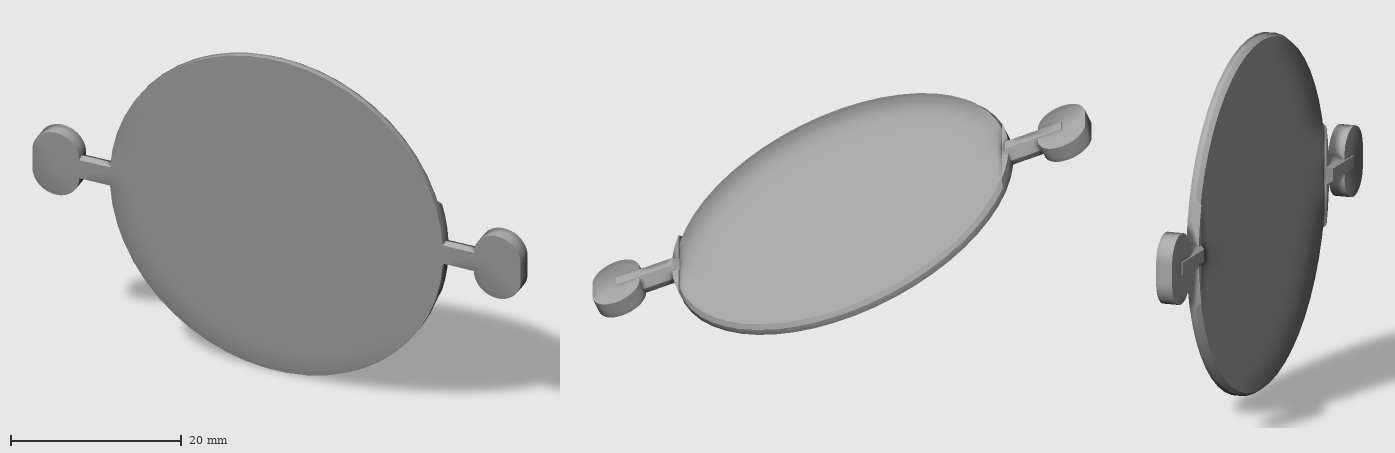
import cadquery as cq
import math

overall_length = 62.7
disc_diameter = 42.8
disc_thickness = 1.3
rim_straight = 0.75
rim_bevel = 0.4
pad_width = 6.0
pad_height = 8.5
pad_thickness = 2.0
neck_thickness = 2.15
neck_front_width = 2.5
neck_widest = 3.0
neck_rear_width = 1.5
shoulder_thickness = 1.55
shoulder_rear_span = 11.8
shoulder_root_span = 13.4
neck_rear_end = 21.2

disc_radius = disc_diameter / 2
pad_center = (overall_length - pad_width) / 2
slope_foot = neck_rear_end - neck_thickness


def make_pad():
    """Upright obround end pad on the +X side."""
    return (
        cq.Workplane("XZ", origin=(pad_center, 0, 0))
        .slot2D(pad_height, pad_width, 90)
        .extrude(-pad_thickness)
    )


def make_neck():
    """Six-sided bar joining the disc to the pad."""
    section = [
        (-neck_front_width / 2, 0),
        (neck_front_width / 2, 0),
        (neck_widest / 2, rim_straight),
        (neck_rear_width / 2, neck_thickness),
        (-neck_rear_width / 2, neck_thickness),
        (-neck_widest / 2, rim_straight),
    ]
    bar = (
        cq.Workplane("YZ", origin=(slope_foot, 0, 0))
        .polyline([(depth, height) for height, depth in section])
        .close()
        .extrude(pad_center - slope_foot)
    )
    slope = [
        (slope_foot, 0),
        (pad_center, 0),
        (pad_center, neck_thickness),
        (neck_rear_end, neck_thickness),
    ]
    limit = cq.Workplane("XY").polyline(slope).close().extrude(neck_widest, both=True)
    return bar.intersect(limit)


def chord_distance(span):
    """Distance from the disc axis to a chord of the rim with the given length."""
    return math.sqrt(disc_radius**2 - (span / 2) ** 2)


def make_shoulder_zone():
    """Region on the +X side that keeps the full rim, sloped on its inner side."""
    root_x = chord_distance(shoulder_root_span)
    rear_x = chord_distance(shoulder_rear_span)
    slope = (rear_x - root_x) / (shoulder_thickness - rim_straight)
    front_x = root_x - slope * rim_straight
    profile = [
        (front_x, 0),
        (pad_center, 0),
        (pad_center, shoulder_thickness),
        (rear_x, shoulder_thickness),
    ]
    return cq.Workplane("XY").polyline(profile).close().extrude(disc_radius, both=True)


def make_disc():
    """Round plate with a bevelled rear rim and a raised shoulder at each neck."""
    blank = cq.Workplane("XZ").circle(disc_radius).extrude(-shoulder_thickness)
    bevel_slope = rim_bevel / (disc_thickness - rim_straight)
    clearance = 0.3
    waste_profile = [
        (0, disc_thickness),
        (disc_radius - rim_bevel, disc_thickness),
        (disc_radius + clearance, rim_straight - clearance / bevel_slope),
        (disc_radius + clearance, shoulder_thickness),
        (0, shoulder_thickness),
    ]
    waste = cq.Workplane("XY").polyline(waste_profile).close().revolve(360, (0, 0), (0, 1))
    zone = make_shoulder_zone()
    return blank.cut(waste.cut(zone).cut(zone.mirror("YZ")))


arm = make_pad().union(make_neck())
result = make_disc().union(arm).union(arm.mirror("YZ"))